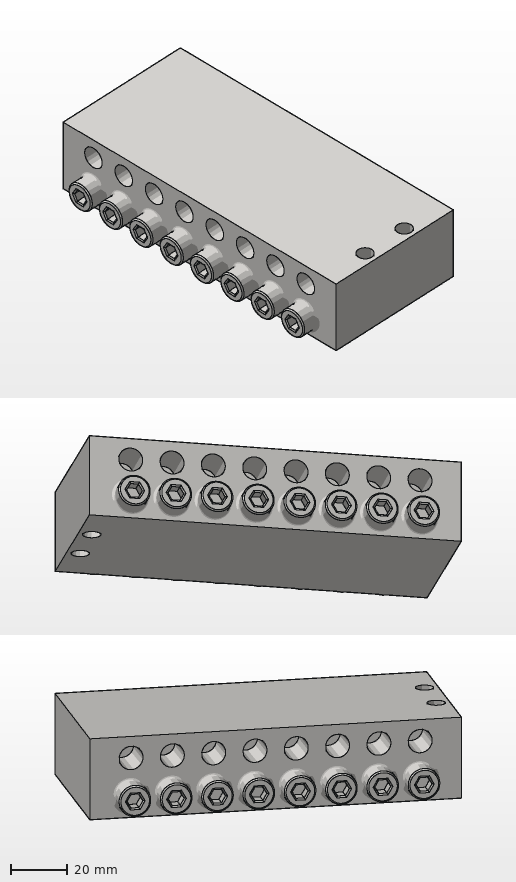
import cadquery as cq
import math

length = 135.0
width = 60.0
height = 30.0

column_count = 8
column_pitch = length / (column_count + 1)
row_edge_distance = 8.0
screw_z = row_edge_distance
port_z = height - row_edge_distance

head_diameter = 11.5
head_length = 7.0
head_chamfer = 0.5
root_fillet = 1.2

socket_flats = 5.0
socket_mouth_flats = 6.2
socket_depth = 5.0
socket_taper_depth = 0.4

port_diameter = 8.6
port_depth = 16.2

mount_diameter = 6.5
mount_pitch = 20.0
mount_edge_distance = 5.0


def corner_diameter(flats):
    """Corner-to-corner size of a hexagon with the given across-flats size."""
    return flats / math.cos(math.pi / 6)


def screw_head():
    """Head along +Z with a filleted root on Z = 0 and a hexagon socket in its end."""
    radius = head_diameter / 2
    head = (
        cq.Workplane("XZ")
        .moveTo(0, 0)
        .lineTo(radius + root_fillet, 0)
        .radiusArc((radius, root_fillet), root_fillet)
        .lineTo(radius, head_length - head_chamfer)
        .lineTo(radius - head_chamfer, head_length)
        .lineTo(0, head_length)
        .close()
        .revolve(360, (0, 0), (0, 1))
    )
    socket = (
        cq.Workplane("XY", origin=(0, 0, head_length - socket_depth))
        .polygon(6, corner_diameter(socket_flats))
        .extrude(socket_depth)
    )
    mouth = (
        cq.Workplane("XY", origin=(0, 0, head_length - socket_taper_depth))
        .polygon(6, corner_diameter(socket_flats))
        .workplane(offset=socket_taper_depth)
        .polygon(6, corner_diameter(socket_mouth_flats))
        .loft()
    )
    return head.cut(socket).cut(mouth)


def block():
    """Plain block with the two mounting holes through it."""
    mount_x = length / 2 - mount_edge_distance
    return (
        cq.Workplane("XY")
        .box(length, width, height, centered=(True, True, False))
        .faces(">Z")
        .workplane(origin=(mount_x, 0, 0))
        .rarray(1.4, mount_pitch, 1, 2)
        .hole(mount_diameter)
    )


front_head = screw_head().rotate((0, 0, 0), (1, 0, 0), 90).translate((0, -width / 2, screw_z))
front_port = (
    cq.Workplane("XZ", origin=(0, -width / 2, port_z))
    .circle(port_diameter / 2)
    .extrude(-port_depth)
)

result = block()
for column in range(column_count):
    column_x = -length / 2 + (column + 1) * column_pitch
    head = front_head.translate((column_x, 0, 0))
    port = front_port.translate((column_x, 0, 0))
    result = result.cut(port).cut(port.mirror("XZ"))
    result = result.union(head).union(head.mirror("XZ"))